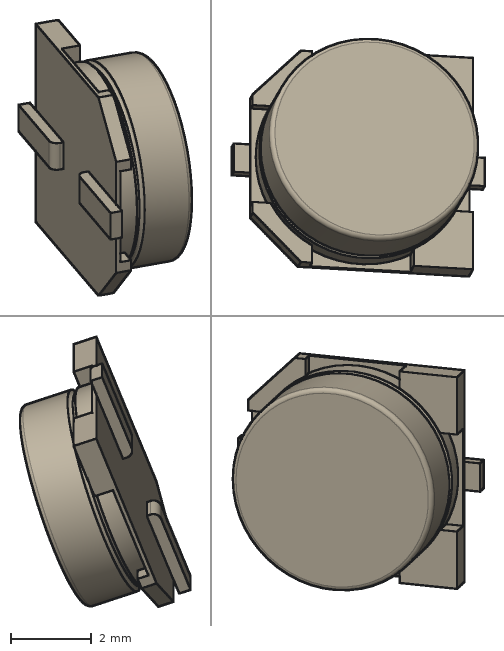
import cadquery as cq


base_side = 5.5
corner_cut = 1.21
tall_wall_height = 0.6
low_wall_height = 0.4
floor_thickness = 0.115
slot_width = 2.52

drum_diameter = 5.25
drum_top = 2.1
rim_fillet = 0.12
groove_radius = 0.1
groove_center = 0.705

overall_length = 6.3
lead_length = 2.305
lead_width = 0.74
lead_thickness = 0.3
lead_fillet = 0.2

half_side = base_side / 2
drum_radius = drum_diameter / 2


def block(size_x, size_z, y_min, y_max, center_x=0):
    """Rectangular block, centred in Z, between two Y levels."""
    size_y = y_max - y_min
    return cq.Workplane("XY").box(size_x, size_y, size_z).translate((center_x, (y_min + y_max) / 2, 0))


def disc(y_min, y_max):
    """Cylinder of the drum diameter along Y."""
    return (
        cq.Workplane("XZ", origin=(0, y_min, 0))
        .circle(drum_radius)
        .extrude(y_min - y_max)
    )


def make_base():
    """Square tray with two cut corners, a round seat and crossing slots."""
    base = block(base_side, base_side, 0, tall_wall_height)
    base = base.edges("|Y and >X").chamfer(corner_cut)

    low_side = block(half_side, base_side, low_wall_height, tall_wall_height, half_side / 2)
    base = base.cut(low_side)

    seat = disc(floor_thickness, tall_wall_height)
    slot_along_x = block(base_side, slot_width, floor_thickness, tall_wall_height)
    slot_along_z = block(slot_width, base_side, floor_thickness, tall_wall_height)
    return base.cut(seat).cut(slot_along_x).cut(slot_along_z)


def make_groove():
    """Ring of round section centred on the drum surface."""
    return (
        cq.Workplane("XY")
        .center(drum_radius, groove_center)
        .circle(groove_radius)
        .revolve(360, (-drum_radius, 0, 0), (-drum_radius, 1, 0))
    )


def make_flange():
    """Lower part of the drum, from the seat floor to the middle of the groove."""
    return disc(floor_thickness, groove_center).cut(make_groove())


def make_cap():
    """Upper part of the drum, with a rounded top rim."""
    cap = disc(groove_center, drum_top)
    cap = cap.faces(">Y").edges().fillet(rim_fillet)
    return cap.cut(make_groove())


def make_lead(side):
    """Flat lead on the -X (side = -1) or +X (side = 1) end of the base."""
    center_x = side * (overall_length - lead_length) / 2
    inner_end = "<X" if side > 0 else ">X"
    lead = block(lead_length, lead_width, -lead_thickness, 0, center_x)
    return lead.faces("<Y").edges(inner_end).fillet(lead_fillet)


base = make_base()
flange = make_flange()
cap = make_cap()
leads = [make_lead(side) for side in (-1, 1)]

bodies = [base, flange, cap, *leads]
result = cq.Compound.makeCompound([body.solids().val() for body in bodies])